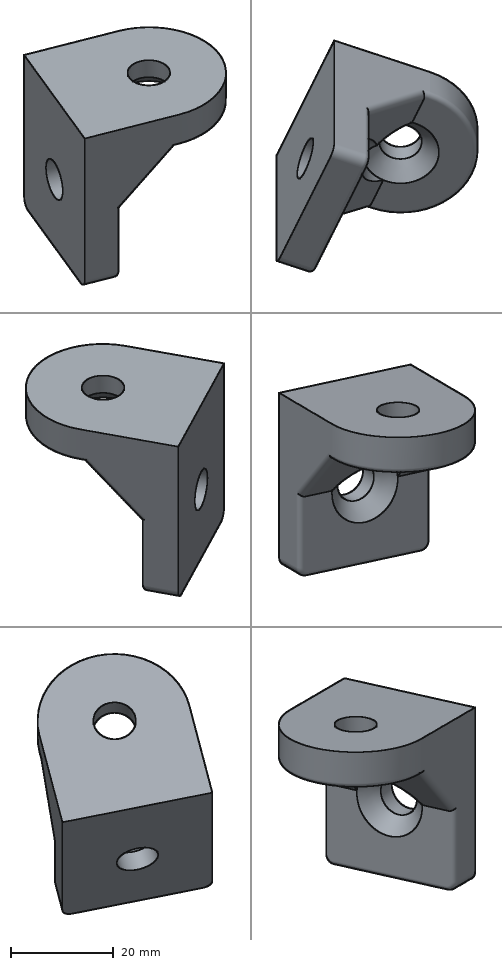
import cadquery as cq

width = 30.0
height = 36.3
depth = 35.1
plate_thickness = 7.55
gusset_leg = 11.9
hole_diameter = 8.28
countersink_diameter = 15.0
straight_hole_depth = 4.1
hole_offset = 20.05
front_hole_height = 16.3
corner_radius = 2.0
edge_radius = 0.98
gusset_edge_radius = 1.38

nose_radius = width / 2
countersink_depth = plate_thickness - straight_hole_depth
nose_start = depth - nose_radius
plate_underside = height - plate_thickness


def rounded_plan(thickness):
    """Slab with a semicircular nose at the back."""
    return (
        cq.Workplane("XY")
        .moveTo(-nose_radius, 0)
        .lineTo(nose_radius, 0)
        .lineTo(nose_radius, nose_start)
        .threePointArc((0, depth), (-nose_radius, nose_start))
        .close()
        .extrude(thickness)
    )


def countersunk_hole(plane):
    """Through hole that widens as a cone and leaves the gusset as a cylinder."""
    hole = plane.circle(hole_diameter / 2).extrude(-height)
    countersink = (
        plane.workplane(offset=-straight_hole_depth)
        .circle(hole_diameter / 2)
        .workplane(offset=-countersink_depth)
        .circle(countersink_diameter / 2)
        .loft(combine=False)
    )
    mouth = (
        plane.workplane(offset=-plate_thickness)
        .circle(countersink_diameter / 2)
        .extrude(-height)
    )
    return hole.union(countersink).union(mouth)


upright = cq.Workplane("XY").box(width, plate_thickness, height, centered=(True, False, False))
upright = upright.faces("<Z").edges("|Y").fillet(corner_radius)
upright = upright.faces(">Y").edges("not >Z").fillet(edge_radius)

top_plate = rounded_plan(plate_thickness).translate((0, 0, plate_underside))
top_plate = top_plate.faces("<Z").edges("not <Y").fillet(edge_radius)

gusset_foot = plate_underside - gusset_leg - edge_radius
gusset_end = plate_thickness + gusset_leg + edge_radius
gusset_section = [
    (0, gusset_foot),
    (plate_thickness - edge_radius, gusset_foot),
    (gusset_end, plate_underside + edge_radius),
    (gusset_end, height),
    (0, height),
]
gusset = cq.Workplane("YZ").polyline(gusset_section).close().extrude(nose_radius, both=True)
gusset_middle = (0, plate_thickness + gusset_leg / 2, plate_underside - gusset_leg / 2)
slanted_face = gusset.faces(cq.selectors.NearestToPointSelector(gusset_middle))
gusset = slanted_face.edges("not |X").fillet(gusset_edge_radius)
gusset = gusset.intersect(rounded_plan(height))

body = upright.union(top_plate).union(gusset)

front_hole = countersunk_hole(cq.Workplane("XZ", origin=(0, 0, front_hole_height)))
top_hole = countersunk_hole(cq.Workplane("XY", origin=(0, hole_offset, height)))

result = body.cut(front_hole).cut(top_hole)